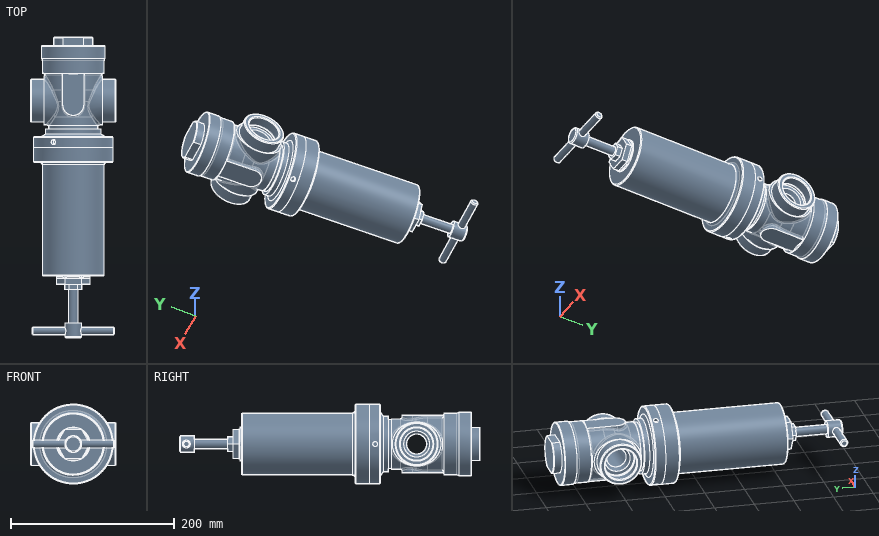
import cadquery as cq
import math


CAP_END = 77.5
CAP_SHOULDER = 67.5
CAP_SEAT = 52.0
FLARE_START = 49.0
COLLAR_END = 33.5
NECK_BLEND_START = 13.2
NECK_BLEND_MIDDLE = -0.7
NECK_BLEND_END = -20.0
GROOVE_START = -30.5
GROOVE_END = -34.5
CONE_START = -41.0
FLANGE_START = -44.0
FLANGE_JOINT = -57.5
RING_END = -75.5
HOUSING_END = -214.5
BUSHING_END = -225.0
LOCKNUT_END = -231.5
HEAD_START = -272.0
HEAD_END = -290.5

CAP_RADIUS = 39.0
CAP_BOSS_RADIUS = 24.0
HOUSING_RADIUS = 38.0
COLLAR_RADIUS = HOUSING_RADIUS
FLARE_RADIUS = 38.5
UPPER_NECK_RADIUS = 35.0
LOWER_NECK_RADIUS = 31.0
GROOVE_RADIUS = 30.0
RIM_RADIUS = 34.2
CONE_RADIUS = 39.0
FLANGE_RADIUS = 49.0
STEM_RADIUS = 6.0
HEAD_RADIUS = 10.3

CAP_FLATS = 40.5
CAP_CHAMFER = 0.7

COLLAR_FILLET = 2.2
FLANGE_CHAMFER = 1.0
PORT_SPAN = 105.0
PORT_DIAMETER = 52.5
PORT_RADIUS = PORT_DIAMETER / 2
PORT_CHAMFER = 1.0
PORT_FOOT_SPAN = 72.0
PORT_FOOT_HALF_WIDTH = 29.8
PORT_FOOT_HALF_HEIGHT = 27.0
PORT_FILLET = 3.0
PORT_ZONE_INNER = 16.0
PORT_ZONE_OUTER = 35.7
SOCKET_RADIUS = 20.0
SOCKET_CHAMFER = 1.0
SOCKET_DEPTH = 17.5
RELIEF_LENGTH = 3.5
RELIEF_RADIUS = 20.5
TAPER_RADIUS = 16.0
TAPER_DEPTH = 5.5
BORE_RADIUS = 12.0
PAD_HALF_WIDTH = 13.0
PAD_HEIGHT = 35.5
PAD_ARC_Y = -5.0
PAD_FILLET = 2.2
PAD_ZONE_HALF_WIDTH = 14.7
PAD_ZONE_HEIGHT = 34.5
SPANNER_RADIUS = 3.0
SPANNER_DEPTH = 5.5
SPANNER_Y = (FLANGE_START + FLANGE_JOINT) / 2
SPANNER_ANGLES = (30, 150, 270)

RING_LIP = 0.5
RING_FILLET = 3.0

HOUSING_CHAMFER = 1.0
WASHER_RADIUS = 20.5
WASHER_THICKNESS = 1.5
BUSHING_FLATS = 35.7
BUSHING_FLARE = 1.5
LOCKNUT_FLATS = 18.5
HEAD_CHAMFER = 1.5
BAR_LENGTH = 101.2
BAR_RADIUS = 4.8
BAR_CHAMFER = 1.5
BAR_Y = -282.0


def turned(profile):
    """Revolve a closed (radius, Y) profile about the Y axis."""
    return profile.close().revolve(360, (0, 0, 0), (0, 1, 0))


def rod_y(radius, start, end):
    """Cylinder on the Y axis between two Y stations, start above end."""
    return cq.Workplane("XZ", origin=(0, start, 0)).circle(radius).extrude(start - end)


def hexagon_y(flats, start, end, taper=0):
    """Hexagonal prism on the Y axis, two flats facing up and down, its sides drawn in by a taper angle."""
    corner_diameter = flats / math.cos(math.pi / 6)
    outline = cq.Workplane("XZ", origin=(0, start, 0)).polygon(6, corner_diameter)
    return outline.extrude(start - end, taper=taper)


def make_cap():
    disc = rod_y(CAP_RADIUS, CAP_SHOULDER, CAP_SEAT).faces(">Y").chamfer(CAP_CHAMFER)
    boss = rod_y(CAP_BOSS_RADIUS, CAP_END, CAP_SHOULDER).faces(">Y").chamfer(CAP_CHAMFER)
    flats = cq.Workplane("XY").box(2 * CAP_BOSS_RADIUS, 2 * CAP_END, CAP_FLATS)
    return disc.union(boss.intersect(flats))


def turned_neck():
    """Waisted neck, drawn in from the collar radius to the groove by two tangent arcs."""
    neck_drop = UPPER_NECK_RADIUS - LOWER_NECK_RADIUS
    blend_share = (NECK_BLEND_START - NECK_BLEND_MIDDLE) / (NECK_BLEND_START - NECK_BLEND_END)
    blend_radius = UPPER_NECK_RADIUS - neck_drop * blend_share
    return turned(
        cq.Workplane("XY")
        .moveTo(0, COLLAR_END)
        .lineTo(UPPER_NECK_RADIUS, COLLAR_END)
        .lineTo(UPPER_NECK_RADIUS, NECK_BLEND_START)
        .tangentArcPoint((blend_radius, NECK_BLEND_MIDDLE), relative=False)
        .tangentArcPoint((LOWER_NECK_RADIUS, NECK_BLEND_END), relative=False)
        .lineTo(LOWER_NECK_RADIUS, GROOVE_START)
        .lineTo(0, GROOVE_START)
    )


def turned_collar():
    """Collar that carries the cap, with a fillet down to the neck."""
    fillet_end = COLLAR_END - COLLAR_FILLET
    return turned(
        cq.Workplane("XY")
        .moveTo(0, CAP_SEAT)
        .lineTo(FLARE_RADIUS, CAP_SEAT)
        .lineTo(COLLAR_RADIUS, FLARE_START)
        .lineTo(COLLAR_RADIUS, COLLAR_END)
        .lineTo(UPPER_NECK_RADIUS + COLLAR_FILLET, COLLAR_END)
        .radiusArc((UPPER_NECK_RADIUS, fillet_end), -COLLAR_FILLET)
        .lineTo(0, fillet_end)
    )


def turned_flange():
    """Undercut, rim, cone and flange below the neck."""
    return turned(
        cq.Workplane("XY")
        .moveTo(0, GROOVE_START)
        .lineTo(GROOVE_RADIUS, GROOVE_START)
        .lineTo(GROOVE_RADIUS, GROOVE_END)
        .lineTo(RIM_RADIUS, GROOVE_END)
        .lineTo(RIM_RADIUS, CONE_START)
        .lineTo(CONE_RADIUS, FLANGE_START)
        .lineTo(FLANGE_RADIUS - FLANGE_CHAMFER, FLANGE_START)
        .lineTo(FLANGE_RADIUS, FLANGE_START - FLANGE_CHAMFER)
        .lineTo(FLANGE_RADIUS, FLANGE_JOINT)
        .lineTo(0, FLANGE_JOINT)
    )


def port_tubes():
    """Straight tube for both ports, with an oval foot where it leaves the neck."""
    tube = cq.Workplane("YZ").circle(PORT_RADIUS).extrude(PORT_SPAN / 2, both=True)
    tube = tube.faces("<X or >X").chamfer(PORT_CHAMFER)
    foot = cq.Workplane("YZ").ellipse(PORT_FOOT_HALF_WIDTH, PORT_FOOT_HALF_HEIGHT)
    return tube.union(foot.extrude(PORT_FOOT_SPAN / 2, both=True))


def port_bore():
    """Stepped passage: a socket with a relief groove in each end, tapering down to a through bore."""
    mouth = PORT_SPAN / 2
    socket_floor = mouth - SOCKET_DEPTH
    taper_end = socket_floor - TAPER_DEPTH
    half = (
        cq.Workplane("XY")
        .moveTo(0, 0)
        .lineTo(mouth, 0)
        .lineTo(mouth, SOCKET_RADIUS + SOCKET_CHAMFER)
        .lineTo(mouth - SOCKET_CHAMFER, SOCKET_RADIUS)
        .lineTo(socket_floor + RELIEF_LENGTH, SOCKET_RADIUS)
        .lineTo(socket_floor + RELIEF_LENGTH, RELIEF_RADIUS)
        .lineTo(socket_floor, RELIEF_RADIUS)
        .lineTo(socket_floor, TAPER_RADIUS)
        .lineTo(taper_end, BORE_RADIUS)
        .lineTo(0, BORE_RADIUS)
        .close()
        .revolve(360, (0, 0, 0), (1, 0, 0))
    )
    return half.union(half.mirror("YZ"))


def pads():
    """Flat pads above and below the neck, each with one rounded end."""
    slot = (
        cq.Workplane("XY")
        .moveTo(-PAD_HALF_WIDTH, COLLAR_END)
        .lineTo(-PAD_HALF_WIDTH, PAD_ARC_Y)
        .threePointArc((0, PAD_ARC_Y - PAD_HALF_WIDTH), (PAD_HALF_WIDTH, PAD_ARC_Y))
        .lineTo(PAD_HALF_WIDTH, COLLAR_END)
        .close()
    )
    return slot.extrude(PAD_HEIGHT, both=True)


def spanner_hole(angle):
    """Blind radial hole in the flange rim, at an angle from +Z toward -X."""
    hole = cq.Workplane("XY", origin=(0, SPANNER_Y, FLANGE_RADIUS - SPANNER_DEPTH))
    return hole.circle(SPANNER_RADIUS).extrude(2 * SPANNER_DEPTH).rotate((0, 0, 0), (0, 1, 0), -angle)


def filleted_neck():
    """Neck with ports and pads, filleted where each of them leaves the neck."""
    neck = turned_neck().union(pads())
    pad_zone = cq.selectors.BoxSelector(
        (-PAD_ZONE_HALF_WIDTH, NECK_BLEND_END, -PAD_ZONE_HEIGHT),
        (PAD_ZONE_HALF_WIDTH, COLLAR_END - COLLAR_FILLET, PAD_ZONE_HEIGHT),
    )
    neck = neck.edges(pad_zone).fillet(PAD_FILLET)
    neck = neck.union(port_tubes())
    for inner_x, outer_x in ((-PORT_ZONE_OUTER, -PORT_ZONE_INNER), (PORT_ZONE_INNER, PORT_ZONE_OUTER)):
        port_zone = cq.selectors.BoxSelector(
            (inner_x, GROOVE_START, -PORT_FOOT_HALF_HEIGHT),
            (outer_x, COLLAR_END, PORT_FOOT_HALF_HEIGHT),
        )
        neck = neck.edges("%BSPLINE").edges(port_zone).fillet(PORT_FILLET)
    return neck


def make_body():
    body = filleted_neck().union(turned_collar()).union(turned_flange()).cut(port_bore())
    for angle in SPANNER_ANGLES:
        body = body.cut(spanner_hole(angle))
    return body


def make_clamp_ring():
    lip_radius = HOUSING_RADIUS + RING_LIP
    return turned(
        cq.Workplane("XY")
        .moveTo(HOUSING_RADIUS, FLANGE_JOINT)
        .lineTo(FLANGE_RADIUS, FLANGE_JOINT)
        .lineTo(FLANGE_RADIUS, RING_END + FLANGE_CHAMFER)
        .lineTo(FLANGE_RADIUS - FLANGE_CHAMFER, RING_END)
        .lineTo(lip_radius + RING_FILLET, RING_END)
        .radiusArc((lip_radius, RING_END - RING_FILLET), -RING_FILLET)
        .lineTo(HOUSING_RADIUS, RING_END - RING_FILLET)
    )


def make_housing():
    return rod_y(HOUSING_RADIUS, FLANGE_JOINT, HOUSING_END).faces("<Y").chamfer(HOUSING_CHAMFER)


def make_bushing():
    """Hexagon on a round washer face, its flats flared out where they meet the washer."""
    washer_end = HOUSING_END - WASHER_THICKNESS
    flare_end = washer_end - BUSHING_FLARE
    washer = rod_y(WASHER_RADIUS, HOUSING_END, washer_end)
    hexagon = hexagon_y(BUSHING_FLATS, washer_end, BUSHING_END)
    flare = hexagon_y(BUSHING_FLATS + 2 * BUSHING_FLARE, washer_end, flare_end, taper=45)
    flare = flare.intersect(rod_y(WASHER_RADIUS, washer_end, flare_end))
    bore = rod_y(STEM_RADIUS, HOUSING_END, BUSHING_END)
    return washer.union(hexagon).union(flare).cut(bore)


def make_locknut():
    nut = hexagon_y(LOCKNUT_FLATS, BUSHING_END, LOCKNUT_END)
    return nut.cut(rod_y(STEM_RADIUS, BUSHING_END, LOCKNUT_END))


def rod_x(radius, length):
    """Cylinder along X through the screw head, centred on the Y axis."""
    return cq.Workplane("YZ", origin=(0, BAR_Y, 0)).circle(radius).extrude(length / 2, both=True)


def make_screw():
    stem = rod_y(STEM_RADIUS, HOUSING_END, HEAD_START)
    head = rod_y(HEAD_RADIUS, HEAD_START, HEAD_END).faces("<Y").chamfer(HEAD_CHAMFER)
    return stem.union(head).cut(rod_x(BAR_RADIUS, BAR_LENGTH))


def make_bar():
    return rod_x(BAR_RADIUS, BAR_LENGTH).faces("<X or >X").chamfer(BAR_CHAMFER)


cap = make_cap()
body = make_body()
clamp_ring = make_clamp_ring()
housing = make_housing()
bushing = make_bushing()
locknut = make_locknut()
screw = make_screw()
bar = make_bar()

result = cq.Compound.makeCompound([
    cap.val(),
    body.val(),
    clamp_ring.val(),
    housing.val(),
    bushing.val(),
    locknut.val(),
    screw.val(),
    bar.val(),
])